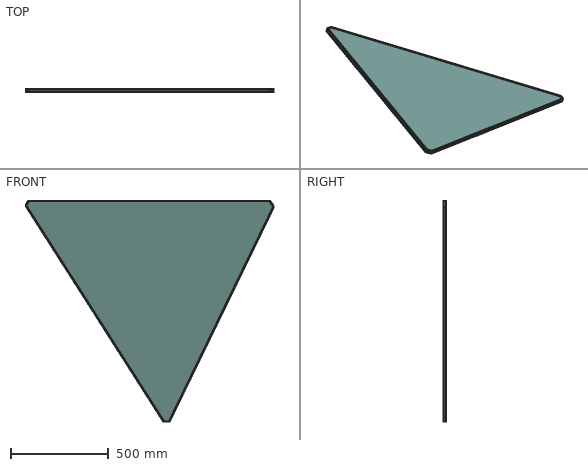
import cadquery as cq

width = 1270.43
height = 1130.3
thickness = 15.0

left_corner_run = 13.0
left_corner_drop = 23.5
right_corner_run = 19.5
right_corner_drop = 29.5

tip_start = 706.5
tip_width = 29.0


def panel_outline():
    """Corner points of the triangular panel, as (x, z) pairs."""
    return [
        (left_corner_run, height),
        (width - right_corner_run, height),
        (width, height - right_corner_drop),
        (tip_start + tip_width, 0),
        (tip_start, 0),
        (0, height - left_corner_drop),
    ]


result = cq.Workplane("XZ").polyline(panel_outline()).close().extrude(-thickness)